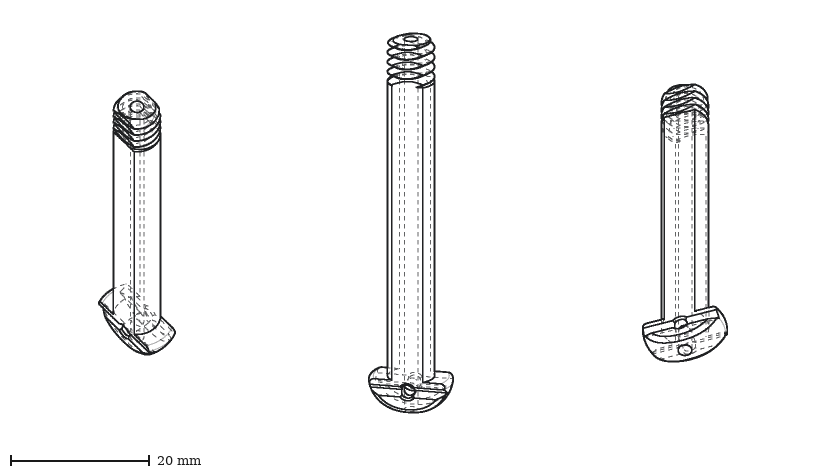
import cadquery as cq
import math

total_height = 56.85
thickness = 5.0
half_thickness = thickness / 2

shank_diameter = 6.8
shank_radius = shank_diameter / 2
thread_length = 6.4
thread_bottom = total_height - thread_length
thread_turns = 4.3
thread_pitch = thread_length / thread_turns
thread_crest_width = 0.05
thread_half_angle = math.radians(30)
thread_tip_chamfer = 0.7
root_height_at_seam = 0.6

head_height = 5.1
rim_fillet = 0.6
dome_arc_radius = 5.2
dome_chamfer_on_flat = 0.5
dome_chamfer_on_dome = 0.7

bore_diameter = 2.0
groove_z = 3.4
groove_depth = 1.0
groove_width = 1.6
countersink_depth = 0.31

overlap = 0.55
flank_overrun = 0.03
run_out_turns = 1
wide = 22.75


def slab_between_flats():
    return cq.Workplane("XY").box(
        wide, thickness, total_height, centered=(True, True, False)
    )


def thread_groove_cutter():
    """V-shaped helical cutter whose sides run straight outwards beyond the thread crest."""
    half_mouth = (thread_pitch - thread_crest_width) / 2
    root_radius = shank_radius - half_mouth / math.tan(thread_half_angle)
    flank_end_radius = shank_radius + flank_overrun
    flank_end = half_mouth + flank_overrun * math.tan(thread_half_angle)
    outer_radius = shank_radius + overlap
    run_out = run_out_turns * thread_pitch
    start_z = thread_bottom + root_height_at_seam - run_out
    helix_height = thread_length + 2 * run_out
    helix = cq.Wire.makeHelix(thread_pitch, helix_height, shank_radius)
    return (
        cq.Workplane("XZ")
        .moveTo(root_radius, 0)
        .lineTo(flank_end_radius, flank_end)
        .lineTo(outer_radius, flank_end)
        .lineTo(outer_radius, -flank_end)
        .lineTo(flank_end_radius, -flank_end)
        .close()
        .sweep(cq.Workplane(obj=helix), isFrenet=True)
        .translate((0, 0, start_z))
    )


def threaded_tip():
    blank = (
        cq.Workplane("XY", origin=(0, 0, thread_bottom))
        .circle(shank_radius)
        .extrude(thread_length)
        .faces(">Z")
        .chamfer(thread_tip_chamfer)
    )
    return blank.cut(thread_groove_cutter())


def shank():
    return (
        cq.Workplane("XY", origin=(0, 0, head_height))
        .circle(shank_radius)
        .extrude(thread_bottom - head_height)
    )


def head():
    """Dome between the two flats, chamfered along the flats below the side grooves."""
    arc_start = bore_diameter / 2
    rim_radius = arc_start + math.sqrt(dome_arc_radius**2 - (dome_arc_radius - head_height) ** 2)
    middle = dome_arc_radius * math.sqrt(0.5)
    dome = (
        cq.Workplane("XZ")
        .moveTo(0, 0)
        .lineTo(arc_start, 0)
        .threePointArc((arc_start + middle, dome_arc_radius - middle), (rim_radius, head_height))
        .lineTo(0, head_height)
        .close()
        .revolve(360, (0, 0, 0), (0, 1, 0))
    )
    slab = slab_between_flats()
    plain = dome.faces(">Z").edges().fillet(rim_fillet).intersect(slab)
    curved_edges = dome.intersect(slab).faces("<Y or >Y").edges("not |X")
    lower_zone = cq.Workplane("XY").box(
        wide, thickness, groove_z, centered=(True, True, False)
    )
    lower = curved_edges.chamfer(dome_chamfer_on_dome, dome_chamfer_on_flat).intersect(lower_zone)
    return plain.cut(lower_zone).union(lower)


def side_groove(side):
    """V groove along X in the flat on the given side."""
    outer_half_width = groove_width / 2 * (groove_depth + overlap) / groove_depth
    return (
        cq.Workplane("YZ", origin=(0, 0, groove_z))
        .moveTo(side * (half_thickness - groove_depth), 0)
        .lineTo(side * (half_thickness + overlap), outer_half_width)
        .lineTo(side * (half_thickness + overlap), -outer_half_width)
        .close()
        .extrude(wide / 2, both=True)
    )


def cross_bore():
    """Bore along Y with a 45 degree countersink at each flat."""
    radius = bore_diameter / 2
    wide_radius = radius + countersink_depth
    return (
        cq.Workplane("XY")
        .moveTo(0, -half_thickness)
        .lineTo(wide_radius, -half_thickness)
        .lineTo(radius, -half_thickness + countersink_depth)
        .lineTo(radius, half_thickness - countersink_depth)
        .lineTo(wide_radius, half_thickness)
        .lineTo(0, half_thickness)
        .close()
        .revolve(360, (0, 0, 0), (0, 1, 0))
        .translate((0, 0, groove_z))
    )


axial_bore = cq.Workplane("XY").circle(bore_diameter / 2).extrude(total_height)

body = head().union(shank()).union(threaded_tip()).intersect(slab_between_flats())
for side in (-1, 1):
    body = body.cut(side_groove(side))
result = body.cut(cross_bore()).cut(axial_bore)